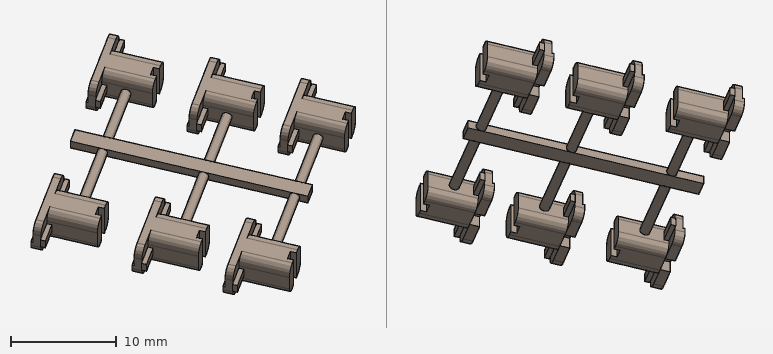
import cadquery as cq

column_starts = (0.0, 10.0, 19.0)
row_pitch = 18.0
row_centers = (-row_pitch / 2, row_pitch / 2)

plug_length = 6.0
plug_height = 3.7
corner_radius = 1.0
head_width = 7.5
head_thickness = 1.0
stem_width = plug_height

lip_projection = 0.2
lip_height = 1.5
notch_width = 1.5
notch_height = 1.35

rib_width = 7.9
rib_thickness = 0.5
rib_height = 1.0

slot_width = 0.9
slot_depth = 0.6

runner_diameter = 1.0
runner_offset = 3.4
bar_start = 0.2
bar_length = 23.5
bar_width = 1.5
bar_height = runner_diameter
bar_center_y = 0.25
sprue_center_z = 0.05


def block(x_start, length, width, height, z_bottom):
    """Box starting at x_start and resting on z_bottom, centered on Y."""
    base = cq.Workplane("XY").workplane(offset=z_bottom).center(x_start, 0)
    return base.rect(length, width).extrude(height).translate((length / 2, 0, 0))


def rounded_block(x_start, length, width):
    """Bar of full plug height along X, with its four long edges rounded."""
    bar = block(x_start, length, width, plug_height, -plug_height / 2)
    return bar.edges("|X").fillet(corner_radius)


def make_plug():
    bottom = -plug_height / 2
    head = rounded_block(0, head_thickness, head_width)
    stem = rounded_block(head_thickness, plug_length - head_thickness, stem_width)
    rib = block(head_thickness, rib_thickness, rib_width, rib_height, -rib_height / 2)

    step_height = plug_height - lip_height
    step = block(0, lip_projection, head_width, step_height, bottom + lip_height)
    notch = block(0, head_thickness, notch_width, notch_height, bottom)
    slot = block(plug_length - slot_depth, slot_depth, slot_width, plug_height, bottom)

    return head.cut(step).cut(notch).union(stem).union(rib).cut(slot)


def make_bar():
    bar = block(bar_start, bar_length, bar_width, bar_height, sprue_center_z - bar_height / 2)
    return bar.translate((0, bar_center_y, 0))


def make_runner(x_start):
    """Round runner joining the stem centers of the two plugs in one column."""
    axis = cq.Workplane("XZ").center(x_start + runner_offset, sprue_center_z)
    return axis.circle(runner_diameter / 2).extrude(row_pitch / 2, both=True)


plug = make_plug()
result = make_bar()
for column_start in column_starts:
    result = result.union(make_runner(column_start))
    for row_center in row_centers:
        result = result.union(plug.translate((column_start, row_center, 0)))